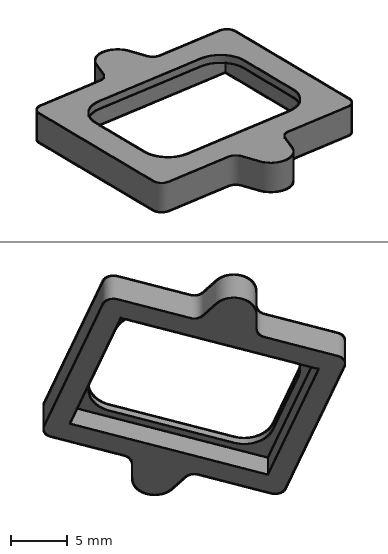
import cadquery as cq
import math

frame_width = 17.6
frame_length = 22.6
thickness = 3.0
frame_corner_radius = 1.0

window_border = 2.75
window_corner_radius = 2.7
lip_thickness = 0.8
recess_border = 2.05

overall_width = 25.0
tab_tip_radius = 2.0
tab_flank_angle = math.radians(20.0)
tab_root_radius = 1.0


def make_frame():
    """Solid plate with rounded vertical corners, resting on Z = 0."""
    plate = cq.Workplane("XY").box(frame_width, frame_length, thickness, centered=(True, True, False))
    return plate.edges("|Z").fillet(frame_corner_radius)


def make_tab(side):
    """Tab on one side (+1 or -1), including the concave blends into the frame."""
    wall_x = frame_width / 2
    tip_x = overall_width / 2
    tip_center_x = tip_x - tab_tip_radius
    sine = math.sin(tab_flank_angle)
    cosine = math.cos(tab_flank_angle)

    flank_outer_x = tip_center_x + tab_tip_radius * sine
    flank_outer_y = tab_tip_radius * cosine
    flank_inner_x = wall_x + tab_root_radius * (1 - sine)
    flank_inner_y = flank_outer_y + (flank_outer_x - flank_inner_x) * math.tan(tab_flank_angle)

    blend_center_x = wall_x + tab_root_radius
    blend_center_y = flank_inner_y + tab_root_radius * cosine
    half_turn = (math.pi / 2 - tab_flank_angle) / 2
    blend_mid_x = blend_center_x - tab_root_radius * math.cos(half_turn)
    blend_mid_y = blend_center_y - tab_root_radius * math.sin(half_turn)

    base_x = wall_x - recess_border / 2
    return (
        cq.Workplane("XY")
        .moveTo(side * base_x, -blend_center_y)
        .lineTo(side * wall_x, -blend_center_y)
        .threePointArc((side * blend_mid_x, -blend_mid_y), (side * flank_inner_x, -flank_inner_y))
        .lineTo(side * flank_outer_x, -flank_outer_y)
        .threePointArc((side * tip_x, 0), (side * flank_outer_x, flank_outer_y))
        .lineTo(side * flank_inner_x, flank_inner_y)
        .threePointArc((side * blend_mid_x, blend_mid_y), (side * wall_x, blend_center_y))
        .lineTo(side * base_x, blend_center_y)
        .close()
        .extrude(thickness)
    )


def opening(border, height):
    """Rectangular cutter that leaves the given border, standing on Z = 0."""
    width = frame_width - 2 * border
    length = frame_length - 2 * border
    return cq.Workplane("XY").box(width, length, height, centered=(True, True, False))


window = opening(window_border, thickness).edges("|Z").fillet(window_corner_radius)
recess = opening(recess_border, thickness - lip_thickness)

result = make_frame()
for side in (-1, 1):
    result = result.union(make_tab(side))
result = result.cut(window).cut(recess)